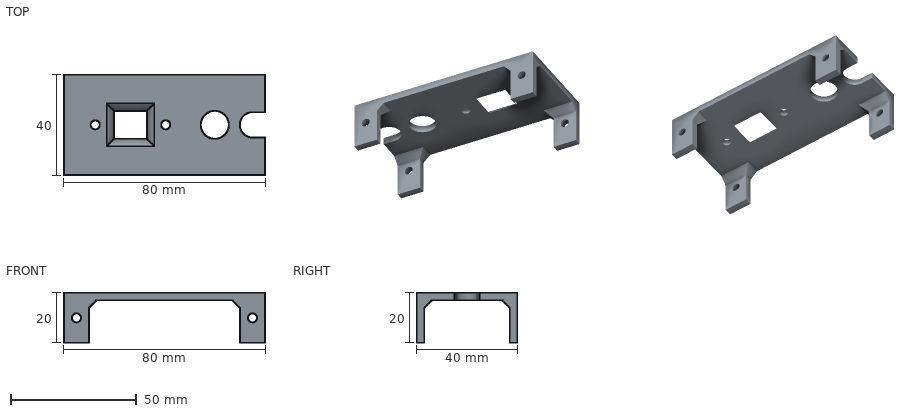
import cadquery as cq

length = 80.0
width = 40.0
height = 20.0

wall = 3.0
leg_width = 10.0
corner_chamfer = wall

screw_diameter = 3.5
round_hole_diameter = 11.0
round_hole_x = length / 4
slot_width = 10.0
slot_depth = 10.0
window_length = 13.0
window_width = 11.0
window_x = -13.5
screw_spacing = 28.0

overcut = 0.8


def chamfered_opening(plane, span, depth):
    """Channel under the plate, with both upper corners chamfered."""
    half_span = span / 2
    ceiling = height - wall
    outline = [
        (-half_span, 0),
        (-half_span, ceiling - corner_chamfer),
        (-half_span + corner_chamfer, ceiling),
        (half_span - corner_chamfer, ceiling),
        (half_span, ceiling - corner_chamfer),
        (half_span, 0),
    ]
    return cq.Workplane(plane).polyline(outline).close().extrude(depth / 2, both=True)


def plate_hole(x, diameter):
    """Vertical cutter on the plate centreline."""
    return cq.Workplane("XY").center(x, 0).circle(diameter / 2).extrude(height)


def tapered_window():
    """Rectangular window whose sides flare at 45 degrees up to the top face."""
    return (
        cq.Workplane("XY", origin=(window_x, 0, height))
        .rect(window_length + 2 * wall, window_width + 2 * wall)
        .workplane(offset=-wall)
        .rect(window_length, window_width)
        .loft(ruled=True)
    )


def edge_slot():
    """Round-ended slot open to the +X edge."""
    overall = 2 * slot_depth
    return cq.Workplane("XY").center(length / 2, 0).slot2D(overall, slot_width).extrude(height)


def leg_hole(x):
    """Hole through the pair of legs at one end, along Y."""
    return (
        cq.Workplane("XZ")
        .center(x, height / 2)
        .circle(screw_diameter / 2)
        .extrude(width / 2 + overcut, both=True)
    )


result = cq.Workplane("XY").box(length, width, height, centered=(True, True, False))
result = result.cut(chamfered_opening("XZ", length - 2 * leg_width, width))
result = result.cut(chamfered_opening("YZ", width - 2 * wall, length))

result = result.cut(tapered_window())
result = result.cut(edge_slot())
result = result.cut(plate_hole(round_hole_x, round_hole_diameter))

for side in (-1, 1):
    result = result.cut(plate_hole(window_x + side * screw_spacing / 2, screw_diameter))
    result = result.cut(leg_hole(side * (length - leg_width) / 2))